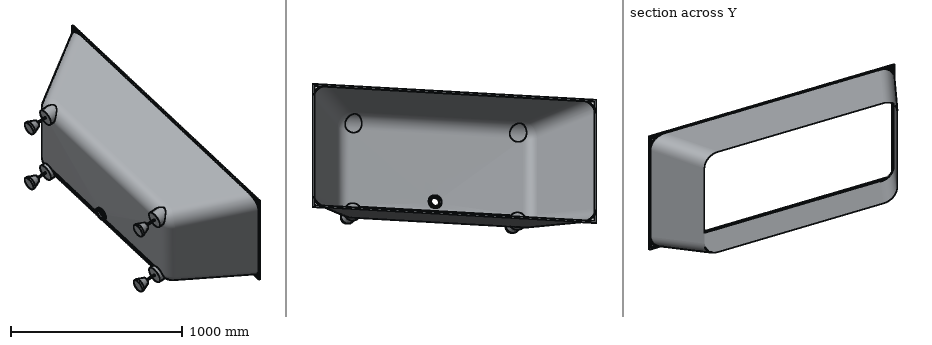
import cadquery as cq
import math

length = 1703.0
width = 740.0
height = 635.0

rim_depth = 10.0
rim_width = 12.0

floor_depth = 485.0
wall = 5.0
end_slope = 30.0
side_slope = 7.2
outer_radius = 90.0

drain_z = -174.0
collar_diameter = 80.0
ring_diameter = 70.0
ring_bore = 50.0
drain_depth = 507.0
floor_fall = 10.0
upper_crease_angle = 32.0
lower_crease_angle = 17.0

foot_x = 494.7
foot_z = 262.0
socket_diameter = 100.0
socket_depth = 510.0
rod_diameter = 10.0
cone_top_diameter = 43.0
cone_depth = 574.0
pad_diameter = 80.0
pad_depth = 622.0


def peg(x, z, diameter, top_depth, bottom_depth):
    """Round bar along Y between two depths."""
    base = cq.Vector(x, -top_depth, z)
    solid = cq.Solid.makeCylinder(diameter / 2, bottom_depth - top_depth, base, cq.Vector(0, -1, 0))
    return cq.Workplane(solid)


def corner_points(half_x, half_z, depth):
    """Four corners of a rectangle at a depth, counter-clockwise from +X +Z."""
    signs = ((1, 1), (-1, 1), (-1, -1), (1, -1))
    return [cq.Vector(sx * half_x, -depth, sz * half_z) for sx, sz in signs]


def polygon_face(points):
    return cq.Face.makeFromWires(cq.Wire.makePolygon(points, close=True))


def solid_from_faces(faces):
    return cq.Workplane(cq.Solid.makeSolid(cq.Shell.makeShell(faces)))


def tapered_block(top, bottom):
    """Block with flat sides between two rectangles given by their corners."""
    faces = [polygon_face(top), polygon_face(bottom)]
    for i in range(4):
        j = (i + 1) % 4
        faces.append(polygon_face([top[i], top[j], bottom[j], bottom[i]]))
    return solid_from_faces(faces)


def drain_point(angle, depth):
    """Point on the collar circle, at an angle in degrees from +X towards +Z."""
    turn = math.radians(angle)
    radius = collar_diameter / 2
    return cq.Vector(radius * math.cos(turn), -depth, drain_z + radius * math.sin(turn))


def floor_funnel(floor_corners, depth):
    """Shallow funnel that leads from the straight floor edges to the collar circle."""
    upper = upper_crease_angle
    lower = lower_crease_angle
    angles = [upper, 180 - upper, 180 + lower, 360 - lower, 360 + upper]
    circle_depth = depth + floor_fall
    arcs = []
    faces = [polygon_face(floor_corners)]
    for i in range(4):
        middle = (angles[i] + angles[i + 1]) / 2
        arc = cq.Edge.makeThreePointArc(
            drain_point(angles[i], circle_depth),
            drain_point(middle, circle_depth),
            drain_point(angles[i + 1], circle_depth),
        )
        floor_edge = cq.Edge.makeLine(floor_corners[i], floor_corners[(i + 1) % 4])
        arcs.append(arc)
        faces.append(cq.Face.makeRuledSurface(floor_edge, arc))
    faces.append(cq.Face.makeFromWires(cq.Wire.assembleEdges(arcs)))
    return solid_from_faces(faces)


def basin(inset):
    """Rounded, tapered basin with its faces a given distance inside the outer faces of the tub."""
    end_angle = math.radians(end_slope)
    side_angle = math.radians(side_slope)
    depth = floor_depth - inset
    radius = outer_radius - inset
    drop = depth - rim_depth
    top_x = length / 2 - inset / math.cos(end_angle)
    top_z = width / 2 - inset / math.cos(side_angle)
    bottom_x = top_x - drop * math.tan(end_angle)
    bottom_z = top_z - drop * math.tan(side_angle)
    top = corner_points(top_x, top_z, rim_depth)
    bottom = corner_points(bottom_x, bottom_z, depth)
    body = tapered_block(top, bottom).edges("not >Y").fillet(radius)
    flat_x = bottom_x - radius * math.tan((math.pi / 2 - end_angle) / 2)
    flat_z = bottom_z - radius * math.tan((math.pi / 2 - side_angle) / 2)
    return body.union(floor_funnel(corner_points(flat_x, flat_z, depth), depth))


def foot(x, z):
    """Socket, rod and flared pad of one foot, with the socket reaching into the tub floor."""
    cone = cq.Solid.makeCone(
        cone_top_diameter / 2,
        pad_diameter / 2,
        pad_depth - cone_depth,
        cq.Vector(x, -cone_depth, z),
        cq.Vector(0, -1, 0),
    )
    socket = peg(x, z, socket_diameter, floor_depth - outer_radius, socket_depth)
    rod = peg(x, z, rod_diameter, socket_depth, cone_depth)
    pad = peg(x, z, pad_diameter, pad_depth, height)
    return socket.union(rod).union(cq.Workplane(cone)).union(pad)


def make_tub():
    """Tub shell with its rim, collar and four feet."""
    body = basin(0)
    body = body.union(peg(0, drain_z, collar_diameter, floor_depth, drain_depth))
    for x in (-foot_x, foot_x):
        for z in (-foot_z, foot_z):
            body = body.union(foot(x, z))
    body = body.cut(basin(wall))
    body = body.cut(peg(0, drain_z, ring_diameter, 0, drain_depth))
    rim = (
        cq.Workplane("XZ")
        .rect(length, width)
        .rect(length - 2 * rim_width, width - 2 * rim_width)
        .extrude(rim_depth)
    )
    return body.union(rim)


def make_drain_ring():
    """Ring that fills the collar from the inner floor to the underside."""
    inner_floor = floor_depth - wall + floor_fall
    ring = peg(0, drain_z, ring_diameter, inner_floor, drain_depth)
    return ring.cut(peg(0, drain_z, ring_bore, inner_floor, drain_depth))


tub = make_tub()
drain_ring = make_drain_ring()

result = cq.Compound.makeCompound([*tub.vals(), *drain_ring.vals()])